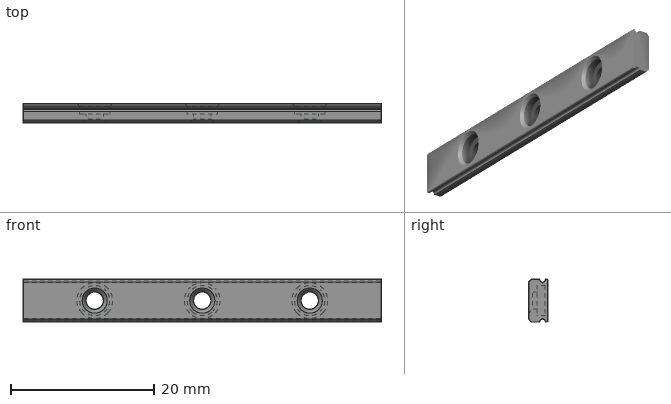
import cadquery as cq

length = 50.0
thickness = 2.7
height = 6.0

front_chamfer = 0.4
back_chamfer = 0.1

groove_centre_from_back = 0.75
groove_radius = 0.4
relief_width = 0.2
relief_depth = 0.5

hole_count = 3
hole_pitch = 15.0
hole_diameter = 2.4
countersink_diameter = 3.5
countersink_angle = 90.0
counterbore_diameter = 4.2
counterbore_depth = 1.5
counterbore_chamfer = 0.4


def make_bar():
    """Rectangular bar with its four long edges chamfered."""
    bar = cq.Workplane("XY").box(length, thickness, height).translate((0, thickness / 2, 0))
    bar = bar.faces("<Y").edges("|X").chamfer(front_chamfer)
    return bar.faces(">Y").edges("|X").chamfer(back_chamfer)


def make_groove():
    """Full-length cutter for the ball groove and its V relief in the top face."""
    groove_y = thickness - groove_centre_from_back
    section_plane = cq.Workplane("YZ", origin=(-length / 2, groove_y, height / 2))
    ball_track = section_plane.circle(groove_radius).extrude(length)

    half_relief = relief_width / 2
    point_start = half_relief - relief_depth
    relief_points = [
        (-half_relief, 0),
        (-half_relief, point_start),
        (0, -relief_depth),
        (half_relief, point_start),
        (half_relief, 0),
    ]
    relief = section_plane.polyline(relief_points).close().extrude(length)
    return ball_track.union(relief)


def drill_holes(body):
    """Row of mounting holes along the middle of the bar."""
    countersunk = (
        body.faces("<Y")
        .workplane(origin=(0, 0, 0))
        .rarray(hole_pitch, 1, hole_count, 1)
        .cskHole(hole_diameter, countersink_diameter, countersink_angle)
    )
    counterbored = (
        countersunk.faces(">Y")
        .workplane(origin=(0, thickness, 0))
        .rarray(hole_pitch, 1, hole_count, 1)
        .hole(counterbore_diameter, counterbore_depth)
    )
    return counterbored.faces(">Y").edges("%CIRCLE").chamfer(counterbore_chamfer)


top_groove = make_groove()
bottom_groove = top_groove.mirror("XY")
bar = make_bar().cut(top_groove).cut(bottom_groove)

result = drill_holes(bar)